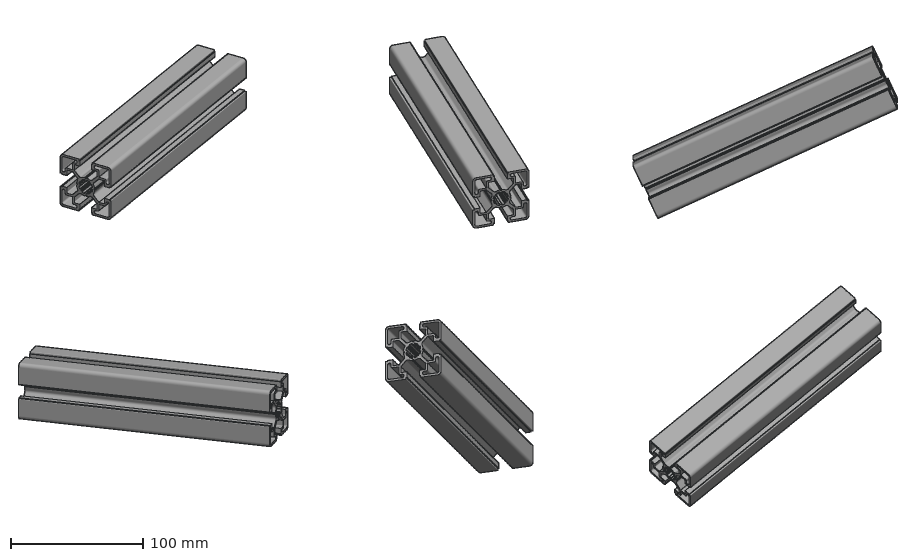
import cadquery as cq
import math

SIDE = 45.0
LENGTH = 200.0
CORNER_RADIUS = 3.0

SLOT_HALF_OPENING = 5.1
MOUTH_STEP_WIDTH = 0.7
MOUTH_STEP_DEPTH = 1.5
MOUTH_EDGE_RADIUS = 0.5
LIP_DEPTH = 6.0
SLOT_HALF_WIDTH = 10.0
SLOT_CORNER_RADIUS = 0.8

SKIN = 1.75
SLOT_WALL = 1.7
LIP_POCKET_WALL = 1.5
WEB_THICKNESS = 2.4

POCKET_TIP = 7.6
CAVITY_CORNER_RADIUS = 1.5
CAVITY_STEP_RADIUS = 1.3

HUB_RADIUS = 8.0
HUB_FILLET_RADIUS = 2.1
HUB_GROOVE_HALF_WIDTH = 0.8
HUB_GROOVE_FLOOR_HALF = 0.3
HUB_GROOVE_DEPTH = 0.6

BORE_RADIUS = 6.0
LAND_RADIUS = 5.1
AXIS_LAND_TIP_HALF = 0.9
AXIS_LAND_ROOT_HALF = 1.2
DIAGONAL_LAND_TIP_HALF = 0.9
DIAGONAL_LAND_ROOT_HALF = 2.5
LAND_NOTCH_HALF_WIDTH = 0.6
LAND_NOTCH_FLOOR_HALF = 0.1
LAND_NOTCH_DEPTH = 0.6

HALF = SIDE / 2
LIP_BOTTOM = HALF - LIP_DEPTH
MOUTH_HALF_OPENING = SLOT_HALF_OPENING + MOUTH_STEP_WIDTH
CAVITY_NEAR = SLOT_HALF_WIDTH + SLOT_WALL
CAVITY_FAR = HALF - SKIN
POCKET_FLOOR = LIP_BOTTOM + LIP_POCKET_WALL
FACE_ANGLES = (0, 90, 180, 270)
WEB_ANGLES = (45, 135, 225, 315)


def section():
    """Sketch plane for the XZ profile."""
    return cq.Workplane("XZ")


def extrude_outline(outline):
    """Run a closed XZ outline from Y = 0 to Y = LENGTH."""
    return outline.extrude(-LENGTH)


def spin(body, angle):
    """Turn a body about the profile's long axis."""
    return body.rotate((0, 0, 0), (0, 1, 0), angle)


def polar(radius, angle):
    """XZ point at a radius and an angle in radians from +X."""
    return (radius * math.cos(angle), radius * math.sin(angle))


def mirror(point):
    """XZ point reflected across the Z axis."""
    return (-point[0], point[1])


def make_block():
    block = extrude_outline(section().rect(SIDE, SIDE))
    return block.edges("|Y").fillet(CORNER_RADIUS)


def make_mouth():
    """Stepped opening between the lips of the +Z slot, with rounded outer edges."""
    opening = section().center(0, (HALF + LIP_BOTTOM) / 2).rect(2 * SLOT_HALF_OPENING, LIP_DEPTH)
    step = section().center(0, HALF - MOUTH_STEP_DEPTH / 2).rect(2 * MOUTH_HALF_OPENING, MOUTH_STEP_DEPTH)
    rounding_centre = (MOUTH_HALF_OPENING + MOUTH_EDGE_RADIUS, HALF - MOUTH_EDGE_RADIUS)
    to_arc_middle = polar(MOUTH_EDGE_RADIUS, math.radians(135))
    arc_middle = (rounding_centre[0] + to_arc_middle[0], rounding_centre[1] + to_arc_middle[1])
    half_flare = (
        section()
        .moveTo(0, HALF)
        .lineTo(rounding_centre[0], HALF)
        .threePointArc(arc_middle, (MOUTH_HALF_OPENING, rounding_centre[1]))
        .lineTo(0, rounding_centre[1])
        .close()
    )
    flare = extrude_outline(half_flare)
    return extrude_outline(opening).union(extrude_outline(step)).union(flare).union(flare.mirror("YZ"))


def make_slot_room():
    """Wide part of the +Z slot, closed in by the lips, two webs and the hub."""
    web_half = WEB_THICKNESS / 2
    web_angle = math.radians(45)
    centre_distance = HUB_RADIUS + HUB_FILLET_RADIUS
    centre_offset = web_half + HUB_FILLET_RADIUS
    centre_angle = web_angle + math.asin(centre_offset / centre_distance)
    fillet_centre = polar(centre_distance, centre_angle)
    hub_touch = polar(HUB_RADIUS, centre_angle)
    web_normal = web_angle - math.pi / 2
    to_web = polar(HUB_FILLET_RADIUS, web_normal)
    web_touch = (fillet_centre[0] + to_web[0], fillet_centre[1] + to_web[1])
    to_middle = polar(HUB_FILLET_RADIUS, (web_normal + centre_angle - math.pi) / 2)
    fillet_middle = (fillet_centre[0] + to_middle[0], fillet_centre[1] + to_middle[1])

    wall_foot = (SLOT_HALF_WIDTH, SLOT_HALF_WIDTH + web_half * math.sqrt(2))
    wall_top = (SLOT_HALF_WIDTH, LIP_BOTTOM)
    outline = (
        section()
        .moveTo(*mirror(wall_top))
        .lineTo(*wall_top)
        .lineTo(*wall_foot)
        .lineTo(*web_touch)
        .threePointArc(fillet_middle, hub_touch)
        .threePointArc((0, HUB_RADIUS), mirror(hub_touch))
        .threePointArc(mirror(fillet_middle), mirror(web_touch))
        .lineTo(*mirror(wall_foot))
        .close()
    )
    upper_corners = cq.selectors.BoxSelector(
        (-SIDE, -LENGTH, LIP_BOTTOM - SLOT_CORNER_RADIUS),
        (SIDE, 2 * LENGTH, HALF),
    )
    return extrude_outline(outline).edges("|Y").edges(upper_corners).fillet(SLOT_CORNER_RADIUS)


def make_taper(first_half, first_z, second_half, second_z):
    """Tapered strip on the +Z axis, given its half width at two heights."""
    first_side = [(-first_half, first_z), (first_half, first_z)]
    second_side = [(second_half, second_z), (-second_half, second_z)]
    return extrude_outline(section().polyline(first_side + second_side).close())


def make_hub_groove():
    floor = HUB_RADIUS - HUB_GROOVE_DEPTH
    return make_taper(HUB_GROOVE_HALF_WIDTH, HUB_RADIUS, HUB_GROOVE_FLOOR_HALF, floor)


def make_corner_cavity():
    """Hollow in the +X +Z corner: a square room with a pocket into each lip."""
    room_width = CAVITY_FAR - CAVITY_NEAR
    room_centre = (CAVITY_FAR + CAVITY_NEAR) / 2
    room = extrude_outline(section().center(room_centre, room_centre).rect(room_width, room_width))
    room = room.edges("|Y and >X and >Z").fillet(CAVITY_CORNER_RADIUS)

    pocket_width = CAVITY_FAR - POCKET_FLOOR
    pocket_length = room_centre - POCKET_TIP
    pocket_across = (CAVITY_FAR + POCKET_FLOOR) / 2
    pocket_along = (room_centre + POCKET_TIP) / 2
    for x, z, angle in ((pocket_along, pocket_across, 0), (pocket_across, pocket_along, 90)):
        room = room.union(extrude_outline(section().center(x, z).slot2D(pocket_length, pocket_width, angle)))
    for x, z in ((CAVITY_NEAR, POCKET_FLOOR), (POCKET_FLOOR, CAVITY_NEAR)):
        room = room.edges(cq.NearestToPointSelector((x, LENGTH / 2, z))).fillet(CAVITY_STEP_RADIUS)
    return room


def make_land(tip_half, root_half):
    """Tapered rib on the +Z axis, rooted inside the hub wall beyond the bore."""
    root = HUB_RADIUS - HUB_GROOVE_DEPTH
    return make_taper(tip_half, LAND_RADIUS, root_half, root)


def make_bore():
    """Space inside the hub, left free by four plain and four notched lands."""
    bore = extrude_outline(section().circle(BORE_RADIUS))
    axis_land = make_land(AXIS_LAND_TIP_HALF, AXIS_LAND_ROOT_HALF)
    notch_floor = LAND_RADIUS + LAND_NOTCH_DEPTH
    notch = make_taper(LAND_NOTCH_HALF_WIDTH, LAND_RADIUS, LAND_NOTCH_FLOOR_HALF, notch_floor)
    diagonal_land = make_land(DIAGONAL_LAND_TIP_HALF, DIAGONAL_LAND_ROOT_HALF).cut(notch)
    for angle in FACE_ANGLES:
        bore = bore.cut(spin(axis_land, angle))
    for angle in WEB_ANGLES:
        bore = bore.cut(spin(diagonal_land, angle))
    return bore


face_cuts = (
    make_mouth(),
    make_slot_room(),
    make_hub_groove(),
    make_corner_cavity(),
)
profile = make_block()
for face_angle in FACE_ANGLES:
    for face_cut in face_cuts:
        profile = profile.cut(spin(face_cut, face_angle))
result = profile.cut(make_bore())